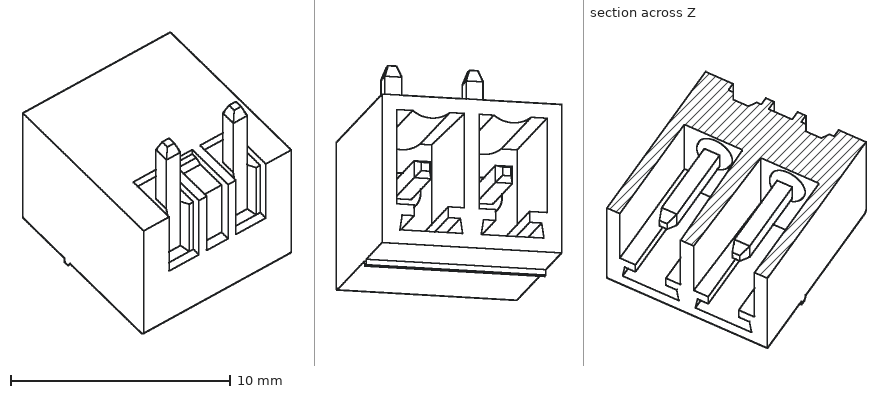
import cadquery as cq


total_height = 10.65
length = 9.2
width = 8.42
height = 7.0
rear_edge_radius = 0.2

ridge_start = 3.17
ridge_tip_length = 0.28
ridge_base_length = 0.42
ridge_height = 0.26

pole_pitch = 3.81
pole_sides = (-1, 1)

opening_depth = 6.01
side_wall = 0.69
divider_mouth_half = 0.35
divider_back_half = 0.49
opening_ceiling = 6.3
key_half_width = 0.87
key_drop = 0.31
rail_top = 1.86
rail_bottom = 1.35
rail_gap_half = 0.8
keyway_top_half = 1.36
keyway_floor_half = 1.47
keyway_floor = 0.65

pin_size = 0.8
pin_tip_size = 0.39
pin_tip_length = 0.56
pin_front = 1.17
pin_axis_height = 3.99
solder_pin_x = 8.0
solder_pin_top = total_height - ridge_height

collar_diameter = 1.8
collar_height = 0.3
collar_radius = 0.25

recess_start = 6.48
recess_depth = 0.46
recess_floor = height - recess_depth
pin_recess_width = 1.7
pin_recess_back = 8.78

slot_mouth_width = 1.22
slot_lead_drop = 0.21
slot_floor = pin_axis_height - pin_size / 2
notch_floor = slot_floor - slot_lead_drop

middle_recess_width = 1.21
middle_recess_back = 8.7
step_length = 0.3
step_slope_length = 0.32
step_depth = 0.29


def box(x_range, y_range, z_range):
    """Axis-aligned block between the given limits."""
    size = [high - low for low, high in (x_range, y_range, z_range)]
    corner = (x_range[0], y_range[0], z_range[0])
    return cq.Workplane("XY").box(*size, centered=False).translate(corner)


def across(center, span):
    """Limits of a span centred on the given place."""
    return center - span / 2, center + span / 2


def housing_body():
    block = box((0, length), across(0, width), (0, height))
    block = block.edges(">X and <Z").fillet(rear_edge_radius)
    ridge = (
        cq.Workplane("XZ", origin=(0, width / 2, 0))
        .moveTo(ridge_start, 0)
        .lineTo(ridge_start, -ridge_height)
        .lineTo(ridge_start + ridge_tip_length, -ridge_height)
        .lineTo(ridge_start + ridge_base_length, 0)
        .close()
        .extrude(width)
    )
    return block.union(ridge)


def plug_opening(side):
    """Keyed opening for one pole, with a keyway below two rails and a drafted divider wall."""
    pole_y = side * pole_pitch / 2
    outer_y = side * (width / 2 - side_wall)
    chamber = (
        cq.Workplane("XY", origin=(0, 0, rail_top))
        .moveTo(0, outer_y)
        .lineTo(opening_depth, outer_y)
        .lineTo(opening_depth, side * divider_back_half)
        .lineTo(0, side * divider_mouth_half)
        .close()
        .extrude(opening_ceiling - rail_top)
    )
    key_radius = (key_half_width**2 + key_drop**2) / (2 * key_drop)
    key = (
        cq.Workplane("YZ")
        .center(pole_y, opening_ceiling - key_drop + key_radius)
        .circle(key_radius)
        .extrude(opening_depth)
    )
    rail_gap = box((0, opening_depth), across(pole_y, 2 * rail_gap_half), (rail_bottom, rail_top))
    keyway = (
        cq.Workplane("YZ")
        .moveTo(pole_y - keyway_floor_half, keyway_floor)
        .lineTo(pole_y + keyway_floor_half, keyway_floor)
        .lineTo(pole_y + keyway_top_half, rail_bottom)
        .lineTo(pole_y - keyway_top_half, rail_bottom)
        .close()
        .extrude(opening_depth)
    )
    return chamber.cut(key).union(rail_gap).union(keyway)


def collar(pole_y):
    return (
        cq.Workplane("YZ", origin=(opening_depth, pole_y, pin_axis_height))
        .circle(collar_diameter / 2)
        .extrude(-collar_height)
        .faces("<X")
        .edges()
        .fillet(collar_radius)
    )


def pin_recess(pole_y):
    """Top recess, rear notch and flared insertion slot of one pole."""
    recess_y = across(pole_y, pin_recess_width)
    recess = box((recess_start, length), recess_y, (recess_floor, height))
    notch = box((pin_recess_back, length), recess_y, (notch_floor, recess_floor))
    pin_back = solder_pin_x + pin_size / 2
    flare_outline = (
        cq.Workplane("XY", origin=(0, pole_y, notch_floor))
        .moveTo(pin_back, -pin_size / 2)
        .lineTo(pin_recess_back, -slot_mouth_width / 2)
        .lineTo(pin_recess_back, slot_mouth_width / 2)
        .lineTo(pin_back, pin_size / 2)
        .close()
        .extrude(recess_floor - notch_floor)
    )
    above_lead_in = (
        cq.Workplane("XZ", origin=(0, pole_y + slot_mouth_width / 2, 0))
        .moveTo(pin_back, slot_floor)
        .lineTo(pin_recess_back, notch_floor)
        .lineTo(pin_recess_back, recess_floor)
        .lineTo(pin_back, recess_floor)
        .close()
        .extrude(slot_mouth_width)
    )
    return recess.union(notch).union(flare_outline.intersect(above_lead_in))


def middle_recess():
    """Recess between the poles: a shallow step, a slope, the main floor and a rear notch."""
    slope_start = recess_start + step_length
    return (
        cq.Workplane("XZ", origin=(0, middle_recess_width / 2, 0))
        .moveTo(recess_start, height)
        .lineTo(recess_start, height - step_depth)
        .lineTo(slope_start, height - step_depth)
        .lineTo(slope_start + step_slope_length, recess_floor)
        .lineTo(middle_recess_back, recess_floor)
        .lineTo(middle_recess_back, notch_floor)
        .lineTo(length, notch_floor)
        .lineTo(length, height)
        .close()
        .extrude(middle_recess_width)
    )


def straight_pin(pin_length):
    """Square pin along +Z from the origin, with a tapered tip."""
    shank_length = pin_length - pin_tip_length
    shank = cq.Workplane("XY").rect(pin_size, pin_size).extrude(shank_length)
    tip = (
        cq.Workplane("XY", origin=(0, 0, shank_length))
        .rect(pin_size, pin_size)
        .workplane(offset=pin_tip_length)
        .rect(pin_tip_size, pin_tip_size)
        .loft(ruled=True)
    )
    return shank.union(tip)


def bent_pin(pole_y):
    """Contact leg towards -X and solder leg towards +Z, meeting in a square corner."""
    bend_x = solder_pin_x + pin_size / 2
    contact_leg = (
        straight_pin(bend_x - pin_front)
        .rotate((0, 0, 0), (0, 1, 0), -90)
        .translate((bend_x, pole_y, pin_axis_height))
    )
    solder_leg = straight_pin(solder_pin_top - slot_floor).translate((solder_pin_x, pole_y, slot_floor))
    return contact_leg.union(solder_leg)


result = housing_body().cut(middle_recess())
for side in pole_sides:
    pole_y = side * pole_pitch / 2
    result = result.cut(plug_opening(side)).cut(pin_recess(pole_y))
    result = result.union(collar(pole_y)).union(bent_pin(pole_y))